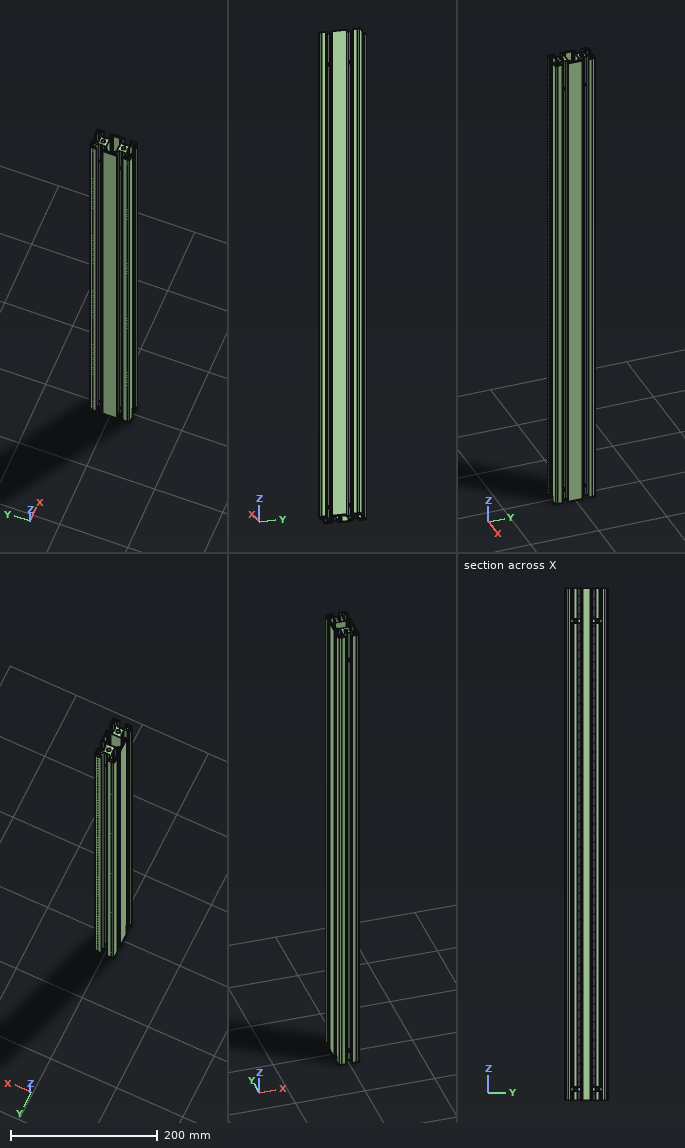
import cadquery as cq
CELL = 30.0
LENGTH = 700.0
CELL_CENTERS = (-CELL / 2, CELL / 2)
CORNER_RADIUS = 2.1

SLOT_OPENING = 9.0
LIP_THICKNESS = 2.0
SLOT_WIDTH = 15.4
SLOT_DEPTH = 8.7
SLOT_FLOOR_WIDTH = 8.2
SLOT_SHOULDER_DEPTH = 5.1
GROOVE_WIDTH = 1.9
GROOVE_DEPTH = 0.53

BORE_DIAMETER = 5.0
WALL_THICKNESS = 2.1
CAVITY_SIDE_HEIGHT = 10.6
CAVITY_HEIGHT = 16.0
CAVITY_FLAT_HALF_WIDTH = 7.7
CORNER_HOLE_SIZE = 3.2
CORNER_WALL = 1.4

CROSS_HOLE_DIAMETER = 5.6
BOTTOM_HOLE_DISTANCE = 15.4
TOP_HOLE_DISTANCE = 44.7
CROSS_HOLE_HEIGHTS = (BOTTOM_HOLE_DISTANCE, LENGTH - TOP_HOLE_DISTANCE)


def slot_cutter(x, y, angle):
    """T-slot whose mouth is the cell face at (x, y); at zero angle it is cut toward -X from the face."""
    half_outline = [
        (0, SLOT_OPENING / 2),
        (-LIP_THICKNESS, SLOT_OPENING / 2),
        (-LIP_THICKNESS, SLOT_WIDTH / 2),
        (-SLOT_SHOULDER_DEPTH, SLOT_WIDTH / 2),
        (-SLOT_DEPTH, SLOT_FLOOR_WIDTH / 2),
        (-SLOT_DEPTH, GROOVE_WIDTH / 2),
    ]
    groove_tip = [(-SLOT_DEPTH - GROOVE_DEPTH, 0)]
    other_half = [(depth, -side) for depth, side in reversed(half_outline)]
    profile = cq.Workplane("XY").polyline(half_outline + groove_tip + other_half).close()
    cutter = profile.extrude(LENGTH)
    return cutter.rotate((0, 0, 0), (0, 0, 1), angle).translate((x, y, 0))


def cut_slots(body):
    for y in CELL_CENTERS:
        body = body.cut(slot_cutter(CELL / 2, y, 0))
        body = body.cut(slot_cutter(-CELL / 2, y, 180))
    body = body.cut(slot_cutter(0, CELL, 90))
    return body.cut(slot_cutter(0, -CELL, -90))


def cut_middle_cavity(body):
    """Eight-sided chamber between the two cores, lower at its sides than across its middle."""
    side_x = CELL / 2 - WALL_THICKNESS
    flat_x = CAVITY_FLAT_HALF_WIDTH
    slope_run = (CAVITY_HEIGHT - CAVITY_SIDE_HEIGHT) / 2
    upper = [
        (side_x, CAVITY_SIDE_HEIGHT / 2),
        (flat_x + slope_run, CAVITY_SIDE_HEIGHT / 2),
        (flat_x, CAVITY_HEIGHT / 2),
        (-flat_x, CAVITY_HEIGHT / 2),
        (-flat_x - slope_run, CAVITY_SIDE_HEIGHT / 2),
        (-side_x, CAVITY_SIDE_HEIGHT / 2),
    ]
    lower = [(x, -y) for x, y in reversed(upper)]
    return body.cut(cq.Workplane("XY").polyline(upper + lower).close().extrude(LENGTH))


def cut_corner_holes(body):
    inset = CORNER_WALL + CORNER_HOLE_SIZE / 2
    corners = cq.Workplane("XY").rect(CELL - 2 * inset, 2 * CELL - 2 * inset, forConstruction=True)
    return body.cut(corners.vertices().rect(CORNER_HOLE_SIZE, CORNER_HOLE_SIZE).extrude(LENGTH))


def cut_bores(body):
    centers = [(0, y) for y in CELL_CENTERS]
    return body.cut(cq.Workplane("XY").pushPoints(centers).circle(BORE_DIAMETER / 2).extrude(LENGTH))


def cut_cross_holes(body):
    """Round holes through the whole section, along Y once and along X through each cell."""
    radius = CROSS_HOLE_DIAMETER / 2
    for z in CROSS_HOLE_HEIGHTS:
        body = body.cut(cq.Workplane("XZ").center(0, z).circle(radius).extrude(CELL, both=True))
        side_centers = [(y, z) for y in CELL_CENTERS]
        body = body.cut(cq.Workplane("YZ").pushPoints(side_centers).circle(radius).extrude(CELL, both=True))
    return body


result = cq.Workplane("XY").rect(CELL, 2 * CELL).extrude(LENGTH).edges("|Z").fillet(CORNER_RADIUS)
result = cut_slots(result)
result = cut_middle_cavity(result)
result = cut_corner_holes(result)
result = cut_bores(result)
result = cut_cross_holes(result)